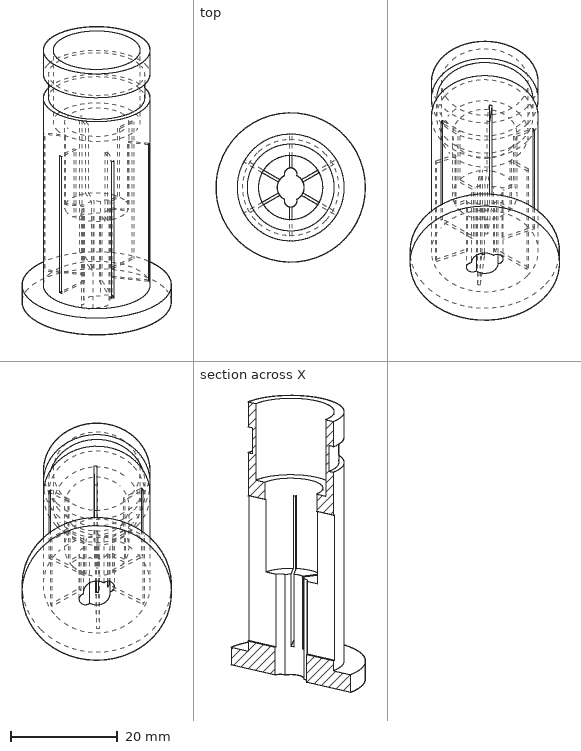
import cadquery as cq

TOTAL_HEIGHT = 52.5
FLANGE_DIAMETER = 28.0
FLANGE_HEIGHT = 3.5

SLEEVE_DIAMETER = 20.0
GROOVE_DIAMETER = 18.0
COLLAR_HEIGHT = 5.0
GROOVE_HEIGHT = 5.0

UPPER_BORE_DIAMETER = 16.3
UPPER_BORE_DEPTH = 15.0
LOWER_BORE_DIAMETER = 12.0

CENTRE_HOLE_DIAMETER = 5.0
LOBE_DIAMETER = 2.3
LOBE_OFFSET = CENTRE_HOLE_DIAMETER / 2

SLOT_COUNT = 6
SLOT_WIDTH = 0.5
SLOT_BOTTOM = 5.5
SLOT_TOP = 34.0
SLOT_HEIGHT = SLOT_TOP - SLOT_BOTTOM

CORE_TOP = (SLOT_BOTTOM + SLOT_TOP) / 2


def cylinder(diameter, bottom, height):
    """Upright cylinder on the Z axis."""
    return cq.Workplane("XY").workplane(offset=bottom).circle(diameter / 2).extrude(height)


def make_outer_body():
    """Flanged sleeve with a groove that sets off the top collar."""
    collar_bottom = TOTAL_HEIGHT - COLLAR_HEIGHT
    groove_bottom = collar_bottom - GROOVE_HEIGHT
    flange = cylinder(FLANGE_DIAMETER, 0, FLANGE_HEIGHT)
    sleeve = cylinder(SLEEVE_DIAMETER, FLANGE_HEIGHT, groove_bottom - FLANGE_HEIGHT)
    neck = cylinder(GROOVE_DIAMETER, groove_bottom, GROOVE_HEIGHT)
    collar = cylinder(SLEEVE_DIAMETER, collar_bottom, COLLAR_HEIGHT)
    return flange.union(sleeve).union(neck).union(collar)


def make_bore():
    """Wide upper bore that steps down to the narrower bore above the core."""
    upper_bore_bottom = TOTAL_HEIGHT - UPPER_BORE_DEPTH
    upper_bore = cylinder(UPPER_BORE_DIAMETER, upper_bore_bottom, UPPER_BORE_DEPTH)
    lower_bore = cylinder(LOWER_BORE_DIAMETER, CORE_TOP, upper_bore_bottom - CORE_TOP)
    return upper_bore.union(lower_bore)


def make_keyed_hole():
    """Round through hole with two opposite lobes along Y."""
    hole = cylinder(CENTRE_HOLE_DIAMETER, 0, CORE_TOP)
    lobes = (
        cq.Workplane("XY")
        .pushPoints([(0, LOBE_OFFSET), (0, -LOBE_OFFSET)])
        .circle(LOBE_DIAMETER / 2)
        .extrude(CORE_TOP)
    )
    return hole.union(lobes)


def make_slots():
    """Evenly spaced slots; each box spans the flange diameter and cuts two opposite slots."""
    slot_pair = (
        cq.Workplane("XY")
        .workplane(offset=SLOT_BOTTOM)
        .rect(SLOT_WIDTH, FLANGE_DIAMETER)
        .extrude(SLOT_HEIGHT)
    )
    slots = slot_pair
    for index in range(1, SLOT_COUNT // 2):
        angle = index * 360 / SLOT_COUNT
        slots = slots.union(slot_pair.rotate((0, 0, 0), (0, 0, 1), angle))
    return slots


result = make_outer_body().cut(make_bore()).cut(make_keyed_hole()).cut(make_slots())